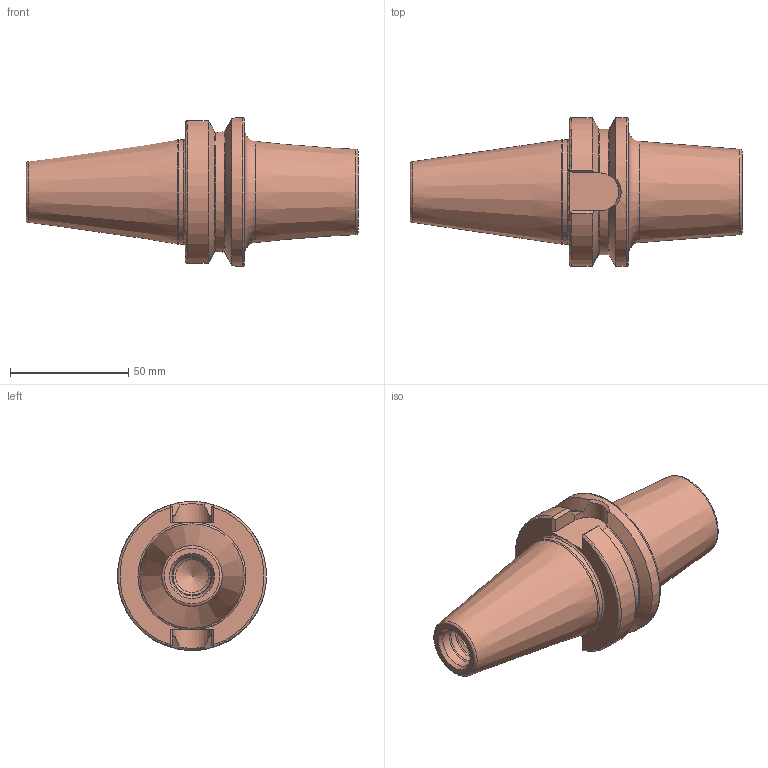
import cadquery as cq
import math

TOLERANCE = 0.01

TAPER_LENGTH = 65.4
PROJECTION = 75.0
TOTAL_LENGTH = TAPER_LENGTH + PROJECTION
FLANGE_START = TAPER_LENGTH + 2.0
FLANGE_END = TAPER_LENGTH + 27.0

EDGE_FILLET = 1.0

GAUGE_RADIUS = 44.45 / 2
TAPER_SLOPE = 7 / 24 / 2
TAPER_TIP_RADIUS = GAUGE_RADIUS - TAPER_SLOPE * TAPER_LENGTH
TAPER_END = TAPER_LENGTH - 1.5
NECK_BLEND_LENGTH = 0.8
NECK_FILLET = 0.8

FLANGE_RADIUS = 63.0 / 2
GROOVE_RADIUS = 53.0 / 2
GROOVE_CENTER = TAPER_LENGTH + 16.6
GROOVE_MOUTH_WIDTH = 10.0
GROOVE_FLANK_ANGLE = math.radians(30.0)
GROOVE_FILLET = 0.5

NOSE_END_RADIUS = 18.0
NOSE_ANGLE = math.radians(4.5)
NOSE_FILLET = 5.0

SLOT_WIDTH = 16.1
SLOT_FLOOR = 22.6
SLOT_END = TAPER_LENGTH + 22.9
SLOT_CHAMFER = 1.2
SLOT_END_CHAMFER = 1.0

COUNTERSINK_RADIUS = 9.5
COUNTERSINK_DEPTH = 1.7
PILOT_RADIUS = 8.5
PILOT_DEPTH = 5.5
COUNTERBORE_RADIUS = 8.25
COUNTERBORE_DEPTH = 9.0
BORE_CONE_LENGTH = 0.7
THREAD_MAJOR_RADIUS = 8.0
THREAD_MINOR_RADIUS = 7.0
THREAD_DEPTH = 30.0
DRILL_HALF_ANGLE = math.radians(59.0)


def revolve_about_x(profile):
    return profile.close().revolve(360, (0, 0, 0), (1, 0, 0))


def fillet_circles(body, corners, fillet_radius):
    """Round the circular edges lying at the given (x, radius) corners."""

    def at_corner(edge):
        point = edge.positionAt(0)
        edge_radius = math.hypot(point.y, point.z)
        return edge.geomType() == "CIRCLE" and any(
            math.hypot(point.x - x, edge_radius - radius) < TOLERANCE for x, radius in corners
        )

    edges = [edge for edge in body.edges().vals() if at_corner(edge)]
    return body.newObject(edges).fillet(fillet_radius)


def make_body():
    taper_angle = math.atan(TAPER_SLOPE)
    taper_end_radius = TAPER_TIP_RADIUS + TAPER_SLOPE * TAPER_END
    neck_start = TAPER_END + NECK_BLEND_LENGTH
    neck_radius = taper_end_radius + NECK_BLEND_LENGTH * math.tan(taper_angle / 2)

    mouth = GROOVE_MOUTH_WIDTH / 2
    floor = mouth - (FLANGE_RADIUS - GROOVE_RADIUS) * math.tan(GROOVE_FLANK_ANGLE)

    fillet_center_x = FLANGE_END + NOSE_FILLET
    nose_start = fillet_center_x - NOSE_FILLET * math.sin(NOSE_ANGLE)
    nose_start_radius = NOSE_END_RADIUS + math.tan(NOSE_ANGLE) * (TOTAL_LENGTH - nose_start)
    fillet_center_radius = nose_start_radius + NOSE_FILLET * math.cos(NOSE_ANGLE)
    middle_angle = (math.pi / 2 - NOSE_ANGLE) / 2
    fillet_middle = (
        fillet_center_x - NOSE_FILLET * math.cos(middle_angle),
        fillet_center_radius - NOSE_FILLET * math.sin(middle_angle),
    )

    profile = (
        cq.Workplane("XY")
        .lineTo(0, TAPER_TIP_RADIUS)
        .lineTo(TAPER_END, taper_end_radius)
        .tangentArcPoint((neck_start, neck_radius), relative=False)
        .lineTo(FLANGE_START - NECK_FILLET, neck_radius)
        .tangentArcPoint((NECK_FILLET, NECK_FILLET))
        .lineTo(FLANGE_START, FLANGE_RADIUS)
        .lineTo(GROOVE_CENTER - mouth, FLANGE_RADIUS)
        .lineTo(GROOVE_CENTER - floor, GROOVE_RADIUS)
        .lineTo(GROOVE_CENTER + floor, GROOVE_RADIUS)
        .lineTo(GROOVE_CENTER + mouth, FLANGE_RADIUS)
        .lineTo(FLANGE_END, FLANGE_RADIUS)
        .lineTo(FLANGE_END, fillet_center_radius)
        .threePointArc(fillet_middle, (nose_start, nose_start_radius))
        .lineTo(TOTAL_LENGTH, NOSE_END_RADIUS)
        .lineTo(TOTAL_LENGTH, 0)
    )
    outer_corners = [
        (0, TAPER_TIP_RADIUS),
        (FLANGE_START, FLANGE_RADIUS),
        (FLANGE_END, FLANGE_RADIUS),
        (TOTAL_LENGTH, NOSE_END_RADIUS),
    ]
    groove_corners = [
        (GROOVE_CENTER - floor, GROOVE_RADIUS),
        (GROOVE_CENTER + floor, GROOVE_RADIUS),
    ]
    body = fillet_circles(revolve_about_x(profile), outer_corners, EDGE_FILLET)
    return fillet_circles(body, groove_corners, GROOVE_FILLET)


def make_bore():
    """Countersink, pilot, counterbore and thread core hole with a drill point."""
    thread_start = COUNTERBORE_DEPTH + BORE_CONE_LENGTH
    thread_chamfer = THREAD_MAJOR_RADIUS - THREAD_MINOR_RADIUS
    drill_tip_length = THREAD_MINOR_RADIUS / math.tan(DRILL_HALF_ANGLE)
    profile = (
        cq.Workplane("XY")
        .lineTo(0, COUNTERSINK_RADIUS)
        .lineTo(COUNTERSINK_DEPTH, PILOT_RADIUS)
        .lineTo(PILOT_DEPTH, PILOT_RADIUS)
        .lineTo(PILOT_DEPTH + BORE_CONE_LENGTH, COUNTERBORE_RADIUS)
        .lineTo(COUNTERBORE_DEPTH, COUNTERBORE_RADIUS)
        .lineTo(thread_start, THREAD_MAJOR_RADIUS)
        .lineTo(thread_start + thread_chamfer, THREAD_MINOR_RADIUS)
        .lineTo(THREAD_DEPTH, THREAD_MINOR_RADIUS)
        .lineTo(THREAD_DEPTH + drill_tip_length, 0)
    )
    return revolve_about_x(profile)


def make_slot():
    """Cutter for the +Z slot: chamfered mouth, straight walls and a full-round end."""
    half_width = SLOT_WIDTH / 2
    half_mouth = half_width + SLOT_CHAMFER
    walls_start = FLANGE_START + SLOT_CHAMFER
    walls_end = SLOT_END - half_width
    return (
        cq.Workplane("XY", origin=(0, 0, SLOT_FLOOR))
        .moveTo(FLANGE_START, -half_mouth)
        .lineTo(walls_start, -half_width)
        .lineTo(walls_end, -half_width)
        .threePointArc((SLOT_END, 0), (walls_end, half_width))
        .lineTo(walls_start, half_width)
        .lineTo(FLANGE_START, half_mouth)
        .close()
        .extrude(FLANGE_RADIUS)
    )


def make_slot_flare():
    """Cutter that bevels the straight top edges of the +Z slot at 45 degrees."""
    half_width = SLOT_WIDTH / 2
    half_mouth = half_width + SLOT_CHAMFER
    bevel_top = math.sqrt(FLANGE_RADIUS**2 - half_mouth**2)
    bevel_bottom = bevel_top - SLOT_CHAMFER
    half_flare = half_width + FLANGE_RADIUS - bevel_bottom
    return (
        cq.Workplane("YZ", origin=(FLANGE_START, 0, 0))
        .moveTo(-half_width, bevel_bottom)
        .lineTo(half_width, bevel_bottom)
        .lineTo(half_flare, FLANGE_RADIUS)
        .lineTo(-half_flare, FLANGE_RADIUS)
        .close()
        .extrude(GROOVE_CENTER - FLANGE_START)
    )


def chamfer_slot_ends(body):
    """Chamfer the round slot ends where they break out through the flange rim."""
    samples = (0, 0.5, 1)

    def on_slot_end(point):
        rim_offset = abs(math.hypot(point.y, point.z) - FLANGE_RADIUS)
        inside_slot = abs(point.y) < SLOT_WIDTH / 2 and GROOVE_CENTER < point.x < SLOT_END + TOLERANCE
        return rim_offset < TOLERANCE and inside_slot

    edges = [
        edge
        for edge in body.edges().vals()
        if all(on_slot_end(edge.positionAt(sample)) for sample in samples)
    ]
    return body.newObject(edges).chamfer(SLOT_END_CHAMFER)


body = make_body()
for cutter in (make_slot(), make_slot_flare()):
    body = body.cut(cutter).cut(cutter.mirror("XY"))
result = chamfer_slot_ends(body).cut(make_bore())